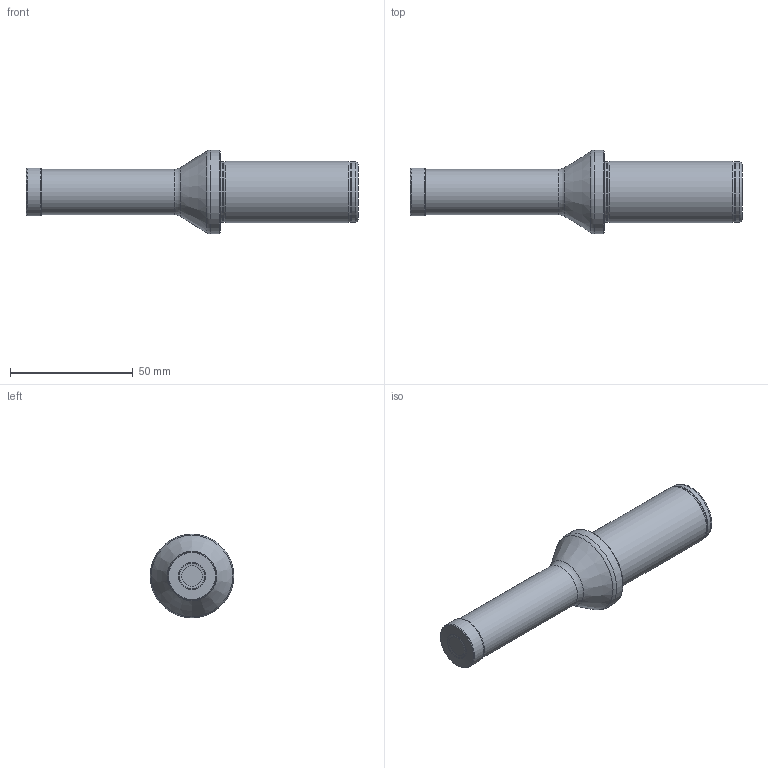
import cadquery as cq
import math

length = 135.0
front_x = -length / 2
back_x = length / 2

head_length = 6.3
head_diameter = 19.5
head_radius = head_diameter / 2
front_chamfer_length = 0.35
front_chamfer_depth = 0.25
back_chamfer_length = 0.45
back_chamfer_depth = 0.15
head_back_x = front_x + head_length
face_rise = 0.12
land_radius = 5.5
dish_mouth_radius = 5.1
dish_floor_radius = 4.2
dish_depth = 0.1

neck_diameter = 18.5
neck_radius = neck_diameter / 2
neck_fillet = 5.15
flare_angle = math.radians(32)
flange_diameter = 34.0
flange_radius = flange_diameter / 2
flange_rim_start_x = 7.5
flange_front_fillet = 3.0
flange_back_chamfer = 0.4
flange_back_x = 11.5

shank_diameter = 25.0
shank_radius = shank_diameter / 2
relief_diameter = 24.5
relief_radius = relief_diameter / 2
front_relief_end_x = 12.47
back_relief_start_x = 64.73
relief_slope = math.radians(15)
relief_fillet = 1.5
shank_end_fillet = 1.0

quarter_turn = math.pi / 2


def on_circle(center, radius, angle):
    """Point of a circle, with the angle measured from the X direction toward the radial direction."""
    return (center[0] + radius * math.cos(angle), center[1] + radius * math.sin(angle))


def turned(profile):
    """Solid of revolution of a closed half-profile about the X axis."""
    return profile.revolve(360, (0, 0, 0), (1, 0, 0))


def make_head():
    """Disc with chamfered edges, a slightly coned face and a shallow dish."""
    rim_x = front_x + face_rise
    dish_floor_x = front_x + dish_depth
    profile = (
        cq.Workplane("XZ")
        .moveTo(dish_floor_x, 0)
        .lineTo(dish_floor_x, dish_floor_radius)
        .lineTo(front_x, dish_mouth_radius)
        .lineTo(front_x, land_radius)
        .lineTo(rim_x, head_radius - front_chamfer_depth)
        .lineTo(rim_x + front_chamfer_length, head_radius)
        .lineTo(head_back_x - back_chamfer_length, head_radius)
        .lineTo(head_back_x, head_radius - back_chamfer_depth)
        .lineTo(head_back_x, 0)
        .close()
    )
    return turned(profile)


def make_holder():
    """Neck, conical flare, flange and relieved shank."""
    rim_center = (flange_rim_start_x, flange_radius - flange_front_fillet)
    flare_end = on_circle(rim_center, flange_front_fillet, quarter_turn + flare_angle)
    rim_middle = on_circle(rim_center, flange_front_fillet, quarter_turn + flare_angle / 2)

    neck_arc_rise = neck_fillet * (1 - math.cos(flare_angle))
    flare_length = (flare_end[1] - neck_radius - neck_arc_rise) / math.tan(flare_angle)
    neck_end_x = flare_end[0] - flare_length - neck_fillet * math.sin(flare_angle)
    neck_center = (neck_end_x, neck_radius + neck_fillet)
    neck_middle = on_circle(neck_center, neck_fillet, -quarter_turn + flare_angle / 2)
    flare_start = on_circle(neck_center, neck_fillet, -quarter_turn + flare_angle)

    relief_arc_radius = relief_radius + relief_fillet
    front_center = (front_relief_end_x, relief_arc_radius)
    front_middle = on_circle(front_center, relief_fillet, -quarter_turn + relief_slope / 2)
    front_slope = on_circle(front_center, relief_fillet, -quarter_turn + relief_slope)
    back_center = (back_relief_start_x, relief_arc_radius)
    back_middle = on_circle(back_center, relief_fillet, -quarter_turn - relief_slope / 2)
    back_slope = on_circle(back_center, relief_fillet, -quarter_turn - relief_slope)
    slope_length = (shank_radius - front_slope[1]) / math.tan(relief_slope)

    end_center = (back_x - shank_end_fillet, relief_radius - shank_end_fillet)
    end_middle = on_circle(end_center, shank_end_fillet, quarter_turn / 2)

    profile = (
        cq.Workplane("XZ")
        .moveTo(head_back_x, 0)
        .lineTo(head_back_x, neck_radius)
        .lineTo(neck_end_x, neck_radius)
        .threePointArc(neck_middle, flare_start)
        .lineTo(*flare_end)
        .threePointArc(rim_middle, (flange_rim_start_x, flange_radius))
        .lineTo(flange_back_x - flange_back_chamfer, flange_radius)
        .lineTo(flange_back_x, flange_radius - flange_back_chamfer)
        .lineTo(flange_back_x, relief_radius)
        .lineTo(front_relief_end_x, relief_radius)
        .threePointArc(front_middle, front_slope)
        .lineTo(front_slope[0] + slope_length, shank_radius)
        .lineTo(back_slope[0] - slope_length, shank_radius)
        .lineTo(*back_slope)
        .threePointArc(back_middle, (back_relief_start_x, relief_radius))
        .lineTo(end_center[0], relief_radius)
        .threePointArc(end_middle, (back_x, end_center[1]))
        .lineTo(back_x, 0)
        .close()
    )
    return turned(profile)


head = make_head()
holder = make_holder()
result = cq.Compound.makeCompound([head.val(), holder.val()])